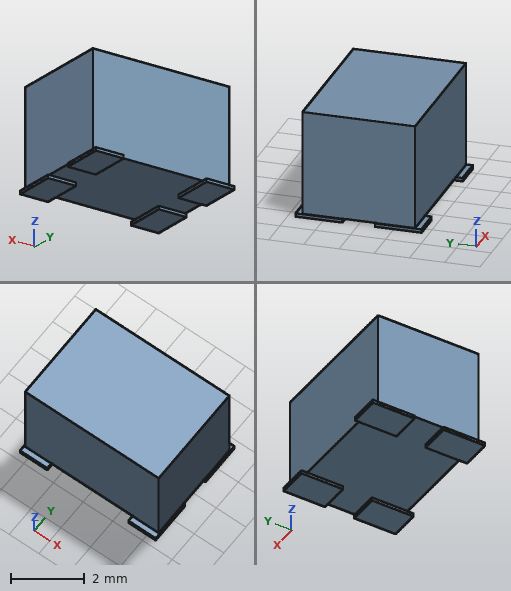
import cadquery as cq

overall_x = 4.57
overall_y = 3.57
overall_height = 3.1

pad_x = 0.92
pad_y = 1.32
pad_thickness = 0.1

body_x = 4.5
body_y = 3.2
body_height = overall_height - pad_thickness


def make_body():
    """Plain block standing on top of the pads."""
    return (
        cq.Workplane("XY")
        .workplane(offset=pad_thickness)
        .rect(body_x, body_y)
        .extrude(body_height)
    )


def make_pad(side_x, side_y):
    """Flat pad flush with the footprint corner given by the two signs."""
    center_x = side_x * (overall_x - pad_x) / 2
    center_y = side_y * (overall_y - pad_y) / 2
    return (
        cq.Workplane("XY")
        .center(center_x, center_y)
        .rect(pad_x, pad_y)
        .extrude(pad_thickness)
    )


body = make_body()

pads = []
for side_x in (-1, 1):
    for side_y in (-1, 1):
        pads.append(make_pad(side_x, side_y).val())

result = cq.Compound.makeCompound([body.val(), *pads])